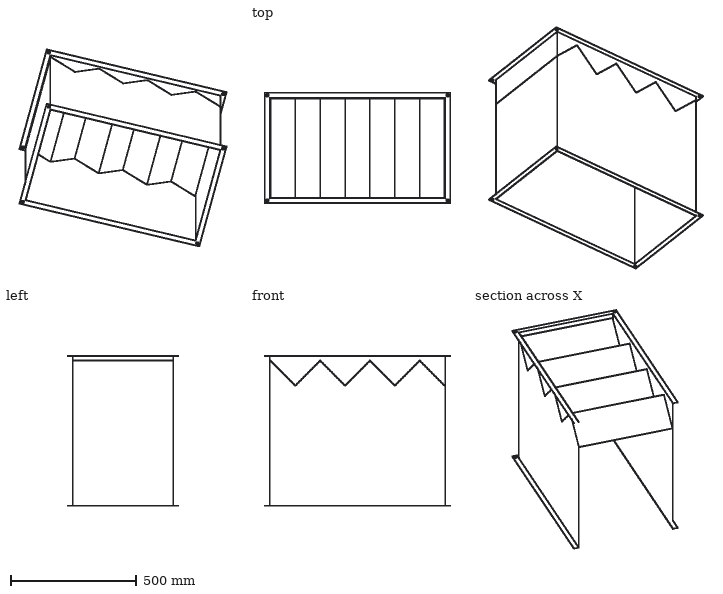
import cadquery as cq
import math

inner_length = 700
inner_width = 400
wall = 1
height = 600
outer_length = inner_length + 2 * wall
outer_width = inner_width + 2 * wall

flange_overhang = 20
flange_thickness = 1
flange_length = outer_length + 2 * flange_overhang
flange_width = outer_width + 2 * flange_overhang
hole_diameter = 9
hole_inset = 11

end_clearance = 2
back_clearance = 2
sheet_length = inner_length - 2 * end_clearance
sheet_width = inner_width - back_clearance
sheet_thickness = 1
panel_count = 7
panel_run = sheet_length / panel_count
panel_rise = 100
sheet_drop = sheet_thickness * math.sqrt(2)
crest_depth = 20
crest_height = height - crest_depth + sheet_drop


def flange(base_height):
    return (
        cq.Workplane("XY", origin=(0, 0, base_height))
        .rect(flange_length, flange_width)
        .rect(flange_length - 2 * hole_inset, flange_width - 2 * hole_inset, forConstruction=True)
        .vertices()
        .circle(hole_diameter / 2)
        .extrude(flange_thickness)
    )


def duct_housing():
    tube = cq.Workplane("XY").rect(outer_length, outer_width).extrude(height)
    bore = cq.Workplane("XY").rect(inner_length, inner_width).extrude(height)
    flanged = tube.union(flange(0)).union(flange(height - flange_thickness))
    return flanged.cut(bore)


def pleated_sheet():
    top_line = []
    for fold in range(panel_count + 1):
        x = -sheet_length / 2 + fold * panel_run
        is_valley = fold % 2
        top_line.append((x, crest_height - is_valley * panel_rise))
    bottom_line = [(x, z - sheet_drop) for x, z in reversed(top_line)]

    back_edge = inner_width / 2 - back_clearance
    return (
        cq.Workplane("XZ", origin=(0, back_edge, 0))
        .polyline(top_line + bottom_line)
        .close()
        .extrude(sheet_width)
    )


housing = duct_housing().solids()
sheet = pleated_sheet()

result = cq.Compound.makeCompound([housing.val(), sheet.val()])